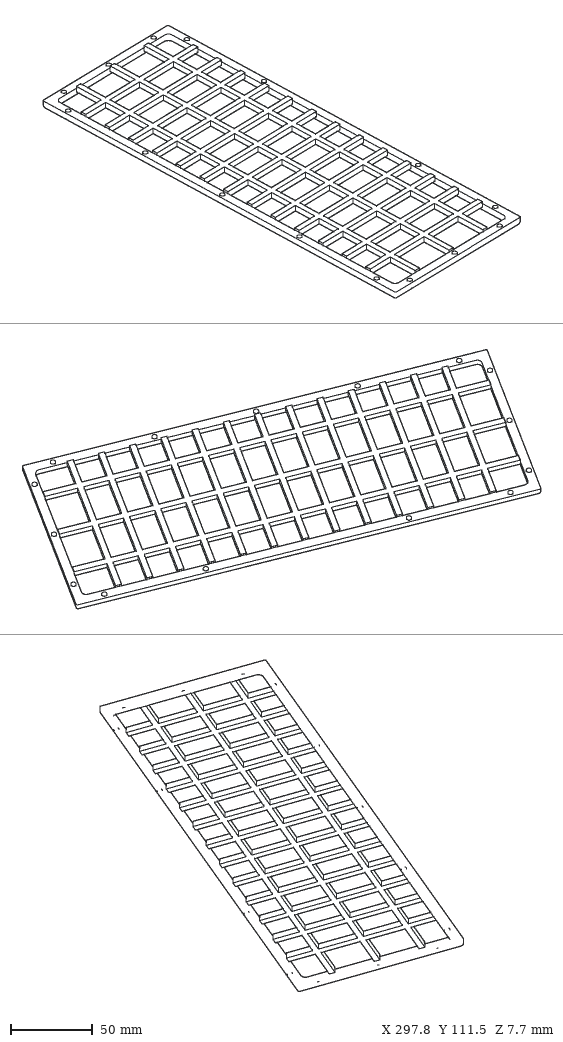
import cadquery as cq

length = 297.8
width = 111.5
frame_height = 6.3
rail_width = 6.0
corner_radius = 1.0
window_radius = 3.0
outer_fillet = 3.0
inner_fillet = 2.7
window_length = length - 2 * rail_width
window_width = width - 2 * rail_width

overall_height = 7.7
bar_height = 4.2
bar_width = 4.0
cross_bar_count = 13
cross_bar_span = 240.0
long_bar_count = 3
long_bar_span = 60.0

hole_diameter = 3.3
hole_depth = 5.0
row_hole_count = 5
row_hole_span = 260.2
column_hole_count = 3
column_hole_span = 79.8
hole_row_y = (width - rail_width) / 2
hole_column_x = (length - rail_width) / 2


def spread(count, span):
    """Evenly spaced coordinates across a span that is centred on zero."""
    return [span * (index / (count - 1) - 0.5) for index in range(count)]


def make_block(size_x, size_y, radius):
    """Plate of the frame's height with rounded upright edges."""
    return cq.Workplane("XY").rect(size_x, size_y).extrude(frame_height).edges("|Z").fillet(radius)


def make_frame():
    blank = make_block(length, width, corner_radius)
    window = make_block(window_length, window_width, window_radius)
    frame = blank.faces("<Z").edges().fillet(outer_fillet).cut(window)
    return frame.faces("<Z").wires().item(1).edges().fillet(inner_fillet)


def make_bars(centres, size_x, size_y):
    bar_bottom = cq.Workplane("XY").workplane(offset=overall_height - bar_height)
    return bar_bottom.pushPoints(centres).rect(size_x, size_y).extrude(bar_height)


def make_lattice():
    cross_centres = [(x, 0) for x in spread(cross_bar_count, cross_bar_span)]
    long_centres = [(0, y) for y in spread(long_bar_count, long_bar_span)]
    cross_bars = make_bars(cross_centres, bar_width, window_width)
    long_bars = make_bars(long_centres, window_length, bar_width)
    return cross_bars.union(long_bars)


def make_holes():
    front_row = [(x, -hole_row_y) for x in spread(row_hole_count, row_hole_span)]
    back_row = [(x, -y) for x, y in front_row if x != 0]
    column_places = spread(column_hole_count, column_hole_span)
    columns = [(x, y) for x in (-hole_column_x, hole_column_x) for y in column_places]
    hole_bottom = cq.Workplane("XY").workplane(offset=frame_height - hole_depth)
    return hole_bottom.pushPoints(front_row + back_row + columns).circle(hole_diameter / 2).extrude(hole_depth)


result = make_frame().cut(make_holes()).union(make_lattice())